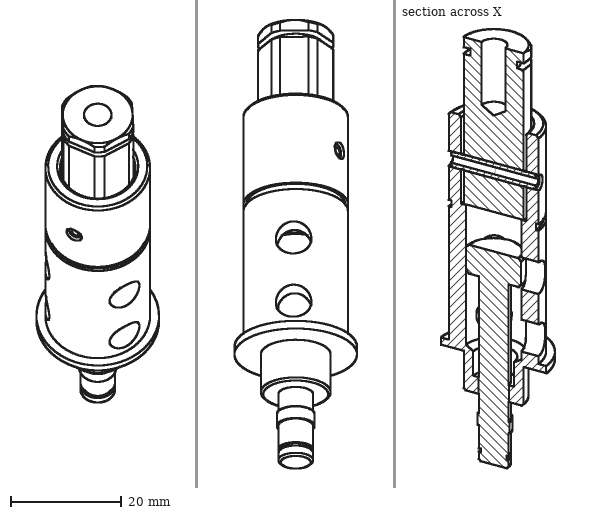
import cadquery as cq
import math

TOTAL_LENGTH = 85.6
SLEEVE_TOP = 69.6
PIN_HEIGHT = 60.0
GROOVE_TOP = 51.5
GROOVE_BOTTOM = 50.25
VENT_HEIGHTS = (40.6, 27.9)
FLANGE_TOP = 23.1
FLANGE_BOTTOM = 21.6
SLEEVE_BOTTOM = 13.6
CLEARANCE_TOP = 22.1
CLEARANCE_BOTTOM = 17.1

DRILL_POINT_ANGLE = 118

SLEEVE_RADIUS = 9.5
SLEEVE_TOP_CHAMFER = 0.5
GROOVE_RADIUS = 9.0
FLANGE_RADIUS = 11.1
BOSS_RADIUS = 6.3
BOSS_CHAMFER = 0.4
BORE_RADIUS = 5.8
CLEARANCE_RADIUS = 4.3
VENT_DIAMETER = 6.4
VENT_ANGLES = (90, 210, 330)

PLUG_RADIUS = 6.85
PLUG_ACROSS_FLATS = 12.7
PLUG_BOTTOM = GROOVE_TOP
PLUG_TOP_CHAMFER = 0.5
NECK_RADIUS = 5.0
NECK_TOP = 83.5
NECK_BOTTOM = 82.2
PORT_RADIUS = 2.5
PORT_DEPTH = 12.8

PIN_RADIUS = 1.5
PIN_CHAMFER = 0.3
PIN_BORE_RADIUS = 0.7
PIN_LENGTH = 18.0

ROD_RADIUS = 3.2
COLLAR_RADIUS = 3.4
COLLAR_TOP = 9.7
COLLAR_BOTTOM = 7.3
CLIP_GROOVE_RADIUS = 2.7
CLIP_GROOVE_TOP = 2.6
CLIP_GROOVE_BOTTOM = 1.9
ROD_CHAMFER = 0.4
PISTON_LENGTH = 6.0
PISTON_CHAMFER = 0.6
PISTON_HEIGHT = VENT_HEIGHTS[0]


def cylinder(radius, bottom, top):
    """Solid cylinder on the Z axis between two heights."""
    return cq.Workplane("XY", origin=(0, 0, bottom)).circle(radius).extrude(top - bottom)


def ring(outer_radius, inner_radius, bottom, top):
    """Tube on the Z axis between two heights."""
    section = cq.Workplane("XY", origin=(0, 0, bottom)).circle(outer_radius).circle(inner_radius)
    return section.extrude(top - bottom)


def cone_height(lower_radius, upper_radius):
    """Height of a drill-point cone between two radii."""
    return (upper_radius - lower_radius) / math.tan(math.radians(DRILL_POINT_ANGLE / 2))


def drill_cone(lower_radius, upper_radius, bottom):
    """Drill-point cone on the Z axis, widening upward from its bottom height."""
    height = cone_height(lower_radius, upper_radius)
    origin = cq.Vector(0, 0, bottom)
    return cq.Workplane(cq.Solid.makeCone(lower_radius, upper_radius, height, origin))


def cross_cylinder(radius, length):
    """Cylinder along Y, centred on the Z axis at the pin height."""
    section = cq.Workplane("XZ", origin=(0, 0, PIN_HEIGHT)).circle(radius)
    return section.extrude(length / 2, both=True)


def vent_cutter(angle, height):
    """Cylinder running outward from the Z axis in the given direction."""
    direction = cq.Vector(math.cos(math.radians(angle)), math.sin(math.radians(angle)), 0)
    start = cq.Vector(0, 0, height)
    return cq.Workplane(cq.Solid.makeCylinder(VENT_DIAMETER / 2, FLANGE_RADIUS, start, direction))


def make_sleeve():
    sleeve = cylinder(SLEEVE_RADIUS, FLANGE_BOTTOM, SLEEVE_TOP)
    boss = cylinder(BOSS_RADIUS, SLEEVE_BOTTOM, FLANGE_BOTTOM).faces("<Z").chamfer(BOSS_CHAMFER)
    sleeve = sleeve.union(cylinder(FLANGE_RADIUS, FLANGE_BOTTOM, FLANGE_TOP)).union(boss)
    sleeve = sleeve.cut(ring(FLANGE_RADIUS, GROOVE_RADIUS, GROOVE_BOTTOM, GROOVE_TOP))

    sleeve = sleeve.cut(cylinder(PLUG_RADIUS, PLUG_BOTTOM, SLEEVE_TOP))
    sleeve = sleeve.faces(">Z").chamfer(SLEEVE_TOP_CHAMFER)
    floor_cone = drill_cone(CLEARANCE_RADIUS, BORE_RADIUS, CLEARANCE_TOP)
    floor_top = CLEARANCE_TOP + cone_height(CLEARANCE_RADIUS, BORE_RADIUS)
    sleeve = sleeve.cut(cylinder(BORE_RADIUS, floor_top, PLUG_BOTTOM)).cut(floor_cone)
    sleeve = sleeve.cut(cylinder(CLEARANCE_RADIUS, CLEARANCE_BOTTOM, CLEARANCE_TOP))
    sleeve = sleeve.cut(cylinder(ROD_RADIUS, SLEEVE_BOTTOM, CLEARANCE_BOTTOM))

    for height in VENT_HEIGHTS:
        for angle in VENT_ANGLES:
            sleeve = sleeve.cut(vent_cutter(angle, height))
    return sleeve.cut(cross_cylinder(PIN_RADIUS, 2 * FLANGE_RADIUS))


def make_plug():
    plug = cylinder(PLUG_RADIUS, PLUG_BOTTOM, TOTAL_LENGTH).faces(">Z").chamfer(PLUG_TOP_CHAMFER)

    across_corners = PLUG_ACROSS_FLATS / math.cos(math.radians(30))
    hexagon = cq.Workplane("XY", origin=(0, 0, PLUG_BOTTOM)).polygon(6, across_corners)
    plug = plug.intersect(hexagon.extrude(TOTAL_LENGTH - PLUG_BOTTOM))

    plug = plug.cut(ring(FLANGE_RADIUS, NECK_RADIUS, NECK_BOTTOM, NECK_TOP))

    port_bottom = TOTAL_LENGTH - PORT_DEPTH
    tip = drill_cone(0, PORT_RADIUS, port_bottom - cone_height(0, PORT_RADIUS))
    plug = plug.cut(cylinder(PORT_RADIUS, port_bottom, TOTAL_LENGTH)).cut(tip)
    return plug.cut(cross_cylinder(PIN_RADIUS, 2 * FLANGE_RADIUS))


def make_cross_pin():
    pin = cross_cylinder(PIN_RADIUS, PIN_LENGTH).faces("<Y or >Y").chamfer(PIN_CHAMFER)
    return pin.cut(cross_cylinder(PIN_BORE_RADIUS, PIN_LENGTH))


def make_piston_rod():
    rod = cylinder(ROD_RADIUS, 0, PISTON_HEIGHT).faces("<Z").chamfer(ROD_CHAMFER)
    rod = rod.union(cylinder(COLLAR_RADIUS, COLLAR_BOTTOM, COLLAR_TOP))
    rod = rod.cut(ring(FLANGE_RADIUS, CLIP_GROOVE_RADIUS, CLIP_GROOVE_BOTTOM, CLIP_GROOVE_TOP))
    piston_bottom = PISTON_HEIGHT - PISTON_LENGTH / 2
    piston = cylinder(BORE_RADIUS, piston_bottom, piston_bottom + PISTON_LENGTH)
    return rod.union(piston.faces("<Z or >Z").chamfer(PISTON_CHAMFER))


sleeve = make_sleeve()
plug = make_plug()
cross_pin = make_cross_pin()
piston_rod = make_piston_rod()

result = cq.Compound.makeCompound([sleeve.val(), plug.val(), cross_pin.val(), piston_rod.val()])